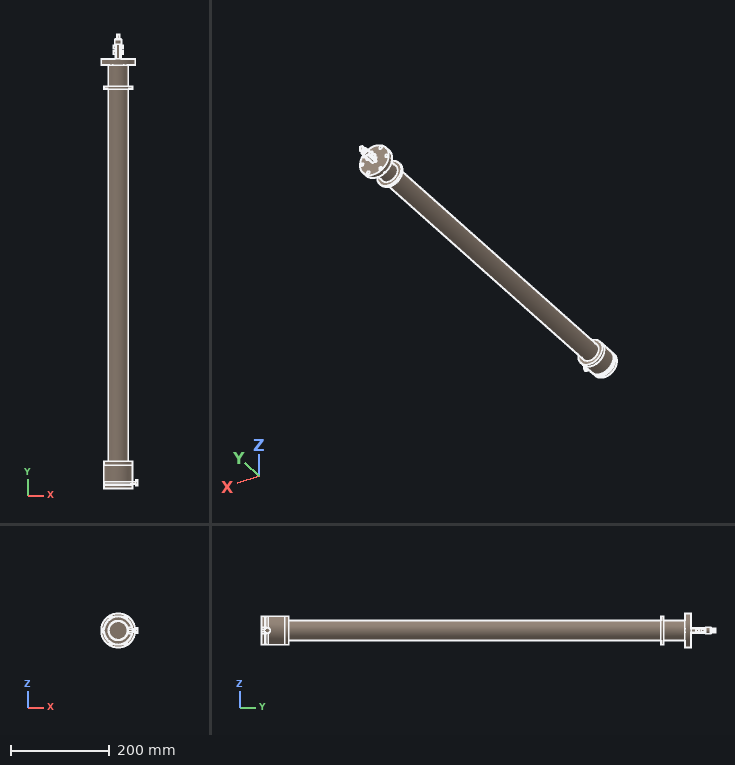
import cadquery as cq
import math

OVERALL_LENGTH = 919.91

TUBE_D = 41.0
RECESS_MOUTH_D = 40.0
RECESS_FLOOR_D = 37.5
RECESS_DEPTH = 1.0

FLANGE_D = 69.5
FLANGE_T = 12.7
BOLT_COUNT = 6
BOLT_D = 6.6
BOLT_CIRCLE_D = 58.7

RING_D = 58.0
RING_T = 5.5
RING_Y = -61.0

COLLAR_LENGTH = 56.0
END_BAND_D = 58.0
END_BAND_LENGTH = 7.0
GROOVE_D = 55.5
GROOVE_WIDTH = 2.5
CLAMP_BAND_D = 58.0
CLAMP_BAND_LENGTH = 5.0
COLLAR_D = 58.6
TUBE_SIDE_BAND_D = 58.0
TUBE_SIDE_BAND_LENGTH = 8.0

NOTCH_WIDTH = 13.0
NOTCH_DEPTH = 10.5
NOTCH_INNER_X = 21.5
LUG_WIDTH = 5.0

SCREW_REACH = 40.0
SCREW_HEAD_D = 12.0
SCREW_HEAD_T = 4.0
SCREW_SHANK_D = 5.0
SCREW_FROM_END = 12.0

TIP_REACH = 50.0
STEM_D = 14.0
STEM_LENGTH = 40.5
STEM_BEVEL = 1.5
BLADE_WIDTH = 5.5
BLADE_HEIGHT = 10.0
EYE_D = 4.0
EYE_FROM_TIP = 4.5
FLUTE_COUNT = 4
FLUTE_WIDTH = 7.0
FLUTE_FLOOR_RADIUS = 5.0
FLUTE_LENGTH = 30.0
PIN_SPAN = 20.0
PIN_D = 7.0
PIN_Y = (13.0, 24.0)

COLLAR_END_Y = TIP_REACH - OVERALL_LENGTH


def disc(diameter, y_start, y_end):
    """Solid cylinder on the Y axis between two Y positions."""
    plane = cq.Workplane("XZ", origin=(0, y_end, 0))
    return plane.circle(diameter / 2).extrude(y_end - y_start)


def make_flange():
    flange = disc(FLANGE_D, -FLANGE_T, 0)
    for i in range(BOLT_COUNT):
        angle = math.radians(i * 360 / BOLT_COUNT)
        x = BOLT_CIRCLE_D / 2 * math.cos(angle)
        z = BOLT_CIRCLE_D / 2 * math.sin(angle)
        flange = flange.cut(disc(BOLT_D, -FLANGE_T, 0).translate((x, 0, z)))
    return flange


def make_ring():
    return disc(RING_D, RING_Y, RING_Y + RING_T)


def make_notch_box(width):
    """Box as long and deep as the collar notch, with the given Z width."""
    length = END_BAND_D / 2 - NOTCH_INNER_X
    box = cq.Workplane("XY").box(length, NOTCH_DEPTH, width, centered=(False, False, True))
    return box.translate((NOTCH_INNER_X, COLLAR_END_Y, 0))


def make_collar():
    """Stepped collar: end band, groove, clamp band, main body and tube-side band."""
    bands = (
        (END_BAND_D, END_BAND_LENGTH),
        (GROOVE_D, GROOVE_WIDTH),
        (CLAMP_BAND_D, CLAMP_BAND_LENGTH),
    )
    body_end = COLLAR_END_Y + COLLAR_LENGTH - TUBE_SIDE_BAND_LENGTH
    band_start = COLLAR_END_Y
    collar = disc(GROOVE_D, COLLAR_END_Y, body_end)
    for diameter, length in bands:
        collar = collar.union(disc(diameter, band_start, band_start + length))
        band_start += length
    collar = collar.union(disc(COLLAR_D, band_start, body_end))
    collar = collar.union(disc(TUBE_SIDE_BAND_D, body_end, body_end + TUBE_SIDE_BAND_LENGTH))
    return collar.cut(make_notch_box(NOTCH_WIDTH)).union(make_notch_box(LUG_WIDTH))


def make_recess():
    mouth = cq.Workplane("XZ", origin=(0, COLLAR_END_Y, 0)).circle(RECESS_MOUTH_D / 2)
    floor = mouth.workplane(offset=-RECESS_DEPTH).circle(RECESS_FLOOR_D / 2)
    return floor.loft()


def make_screw():
    plane = cq.Workplane("YZ", origin=(0, COLLAR_END_Y + SCREW_FROM_END, 0))
    shank = plane.circle(SCREW_SHANK_D / 2).extrude(SCREW_REACH)
    head_plane = plane.workplane(offset=SCREW_REACH - SCREW_HEAD_T)
    return shank.union(head_plane.circle(SCREW_HEAD_D / 2).extrude(SCREW_HEAD_T))


def make_tip():
    """Fluted stem with a flat, eyed blade at its end and two cross pins."""
    tip = disc(STEM_D, 0, STEM_LENGTH).faces(">Y").edges().chamfer(STEM_BEVEL)
    flute_depth = STEM_D / 2 - FLUTE_FLOOR_RADIUS
    flute = cq.Workplane("XY").box(FLUTE_WIDTH, FLUTE_LENGTH, flute_depth, centered=(True, False, False))
    flute = flute.translate((0, 0, FLUTE_FLOOR_RADIUS))
    for i in range(FLUTE_COUNT):
        tip = tip.cut(flute.rotate((0, 0, 0), (0, 1, 0), i * 360 / FLUTE_COUNT))
    blade = cq.Workplane("XY").box(BLADE_WIDTH, TIP_REACH, BLADE_HEIGHT, centered=(True, False, True))
    eye = cq.Workplane("YZ", origin=(0, TIP_REACH - EYE_FROM_TIP, 0)).circle(EYE_D / 2)
    tip = tip.union(blade).cut(eye.extrude(BLADE_WIDTH, both=True))
    for y in PIN_Y:
        pin_plane = cq.Workplane("YZ", origin=(0, y, 0))
        tip = tip.union(pin_plane.circle(PIN_D / 2).extrude(PIN_SPAN / 2, both=True))
    return tip


tube = disc(TUBE_D, COLLAR_END_Y, 0)
result = tube.union(make_flange()).union(make_ring()).union(make_collar())
result = result.union(make_screw()).union(make_tip()).cut(make_recess())